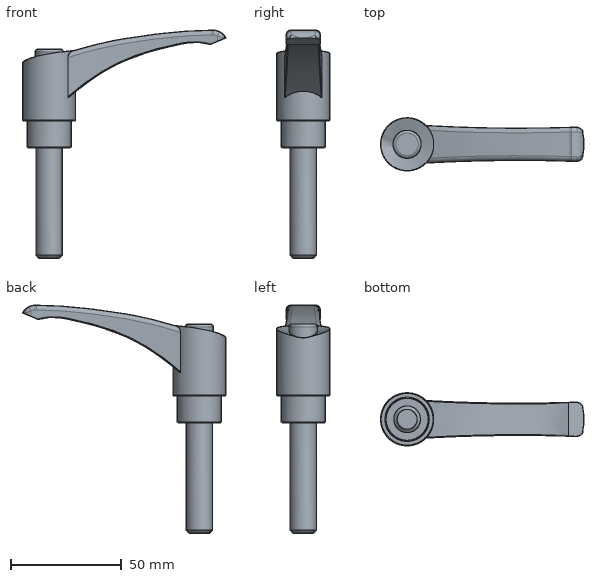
import cadquery as cq
import math

collar_bottom = 49.8
hub_bottom = 62.1
hub_blank_top = 95.7
pin_top = 94.4
lever_top = 102.9

stem_diameter = 12.0
stem_chamfer = 1.5
collar_diameter = 20.0
collar_chamfer = 0.5
hub_diameter = 24.0
hub_chamfer = 0.3
pin_diameter = 12.7
pin_rounding = 1.2
hub_radius = hub_diameter / 2

dish_apex_x = -9.3
dish_apex_z = 87.1
dish_slope = 0.38
dish_tilt = 3.1
dish_radius = 2 * hub_diameter
dish_height = dish_radius * dish_slope

overall_length = 91.7
lever_reach = overall_length - hub_radius
lever_root_x = 8.4
lever_root_half_width = math.sqrt(hub_radius**2 - lever_root_x**2)
waist_x = 46.3
waist_half_width = 7.3
end_half_width = 7.9
end_corner_radius = 3.7
top_rounding = 2.2
bottom_rounding = 0.4
nose_start_x = 73.4
nose_crown = (77.2, 102.0)
nose_tip_z = 99.4
finger_lip = (72.7, 96.4)
root_top_z = 92.8
root_bottom_z = 72.3
top_start_slope = 0.33
top_curve = [(28.3, 98.1), (51.2, 101.5), (nose_start_x, lever_top)]
underside_curve = [(67.3, 97.4), (57.1, 96.1), (33.1, 88.7), (21.2, 82.1), (lever_root_x, root_bottom_z)]


def cylinder(diameter, bottom, top):
    return cq.Workplane("XY").workplane(offset=bottom).circle(diameter / 2).extrude(top - bottom)


def long_edges(bottom, top):
    """Selector for the long side edges of the lever, centred between two heights."""
    return cq.selectors.BoxSelector(
        (hub_diameter, -hub_radius, bottom), (waist_x, hub_radius, top))


def make_lever():
    """Curved side profile intersected with the waisted plan outline."""
    side_profile = (
        cq.Workplane("XZ")
        .moveTo(lever_root_x, root_bottom_z)
        .lineTo(lever_root_x, root_top_z)
        .spline(top_curve, tangents=[(1, top_start_slope), (1, 0)], includeCurrent=True)
        .threePointArc(nose_crown, (lever_reach, nose_tip_z))
        .lineTo(*finger_lip)
        .spline(underside_curve, includeCurrent=True)
        .close()
        .extrude(hub_diameter)
        .translate((0, hub_radius, 0))
    )
    plan = (
        cq.Workplane("XY")
        .moveTo(lever_root_x, -lever_root_half_width)
        .threePointArc((waist_x, -waist_half_width), (lever_reach, -end_half_width))
        .lineTo(lever_reach, end_half_width)
        .threePointArc((waist_x, waist_half_width), (lever_root_x, lever_root_half_width))
        .close()
        .extrude(lever_top)
        .edges("|Z and >X")
        .fillet(end_corner_radius)
    )
    lever = side_profile.intersect(plan)
    lever = lever.edges(long_edges(finger_lip[1], lever_top)).fillet(top_rounding)
    return lever.edges(long_edges(root_bottom_z, root_top_z)).fillet(bottom_rounding)


def make_dish():
    """Tilted cone, kept inside the hub so that it leaves the lever whole."""
    cone = (
        cq.Workplane("XZ")
        .polyline([(0, 0), (dish_radius, dish_height), (0, dish_height)])
        .close()
        .revolve(360, (0, 0), (0, 1))
        .rotate((0, 0, 0), (0, 1, 0), dish_tilt)
        .translate((dish_apex_x, 0, dish_apex_z))
    )
    return cone.intersect(cylinder(hub_diameter, hub_bottom, lever_top))


stem = cylinder(stem_diameter, 0, hub_bottom).faces("<Z").chamfer(stem_chamfer)
collar = cylinder(collar_diameter, collar_bottom, hub_bottom).faces("<Z").chamfer(collar_chamfer)
hub = cylinder(hub_diameter, hub_bottom, hub_blank_top).faces("<Z").chamfer(hub_chamfer)
pin = cylinder(pin_diameter, hub_bottom, pin_top).faces(">Z").edges().fillet(pin_rounding)

result = hub.union(make_lever()).cut(make_dish()).union(pin).union(collar).union(stem)